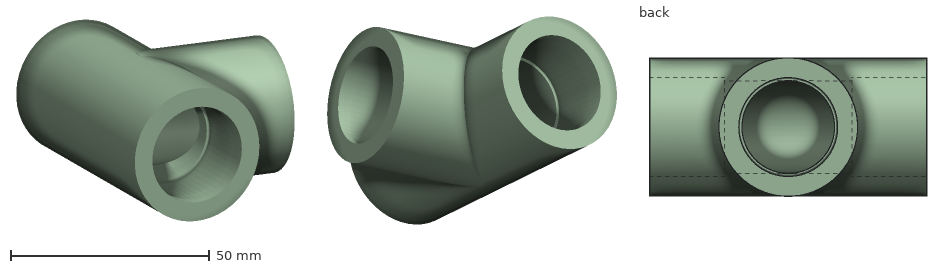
import cadquery as cq

run_length = 70.0
run_diameter = 34.8
branch_diameter = 35.0
overall_width = 52.9
branch_reach = overall_width - run_diameter / 2

socket_diameter = 25.0
passage_diameter = 23.4
socket_depth = 19.0


def run_cylinder(diameter, length):
    """Cylinder along X, centred on the origin."""
    return cq.Workplane("YZ").circle(diameter / 2).extrude(length / 2, both=True)


def branch_cylinder(diameter, start, end):
    """Cylinder along +Y between two distances from the run axis."""
    return cq.Workplane("XZ", origin=(0, start, 0)).circle(diameter / 2).extrude(start - end)


def run_socket(side):
    """Socket cutter at one end of the run; side is -1 or +1."""
    mouth = cq.Workplane("YZ", origin=(side * run_length / 2, 0, 0))
    return mouth.circle(socket_diameter / 2).extrude(-side * socket_depth)


body = run_cylinder(run_diameter, run_length)
body = body.union(branch_cylinder(branch_diameter, 0, branch_reach))

body = body.cut(run_cylinder(passage_diameter, run_length))
body = body.cut(branch_cylinder(passage_diameter, 0, branch_reach))

for side in (-1, 1):
    body = body.cut(run_socket(side))
body = body.cut(branch_cylinder(socket_diameter, branch_reach - socket_depth, branch_reach))

result = body